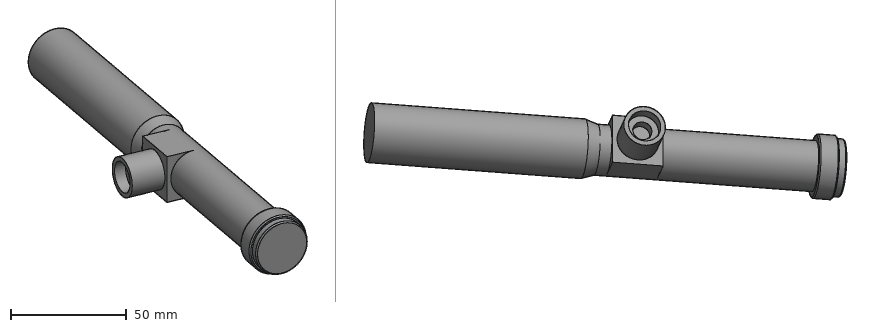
import cadquery as cq

total_length = 208.0
handle_radius = 13.0
handle_length = 94.0
taper_end = 99.6
tube_radius = 11.13

collar_radius = 14.05
collar_start = 195.7
collar_end = 204.5
collar_chamfer = 0.6
cap_radius = 12.7
cap_chamfer = 0.6

port_x = 115.9
block_width = 2 * tube_radius
block_reach = handle_radius
port_radius = 9.2
port_reach = 29.02
socket_radius = 7.0
socket_depth = 5.5
bore_radius = 4.2
bore_depth = 10.5


def make_barrel():
    """Handle, taper, tube, collar and end cap as one solid of revolution."""
    profile = [
        (0, 0),
        (0, handle_radius),
        (handle_length, handle_radius),
        (taper_end, tube_radius),
        (collar_start, tube_radius),
        (collar_start, collar_radius - collar_chamfer),
        (collar_start + collar_chamfer, collar_radius),
        (collar_end - collar_chamfer, collar_radius),
        (collar_end, collar_radius - collar_chamfer),
        (collar_end, cap_radius),
        (total_length - cap_chamfer, cap_radius),
        (total_length, cap_radius - cap_chamfer),
        (total_length, 0),
    ]
    return cq.Workplane("XY").polyline(profile).close().revolve(360, (0, 0, 0), (1, 0, 0))


def port_cylinder(radius, start, end):
    """Cylinder on the port axis between two distances from the barrel axis."""
    plane = cq.Workplane("XZ", origin=(port_x, -start, 0))
    return plane.circle(radius).extrude(end - start)


def make_block():
    """Square block joining the port to the tube, starting at the barrel axis."""
    plane = cq.Workplane("XZ", origin=(port_x, 0, 0))
    return plane.rect(block_width, block_width).extrude(block_reach)


port = port_cylinder(port_radius, 0, port_reach)
socket = port_cylinder(socket_radius, port_reach - socket_depth, port_reach)
bore = port_cylinder(bore_radius, port_reach - bore_depth, port_reach)

result = make_barrel().union(make_block()).union(port).cut(socket).cut(bore)